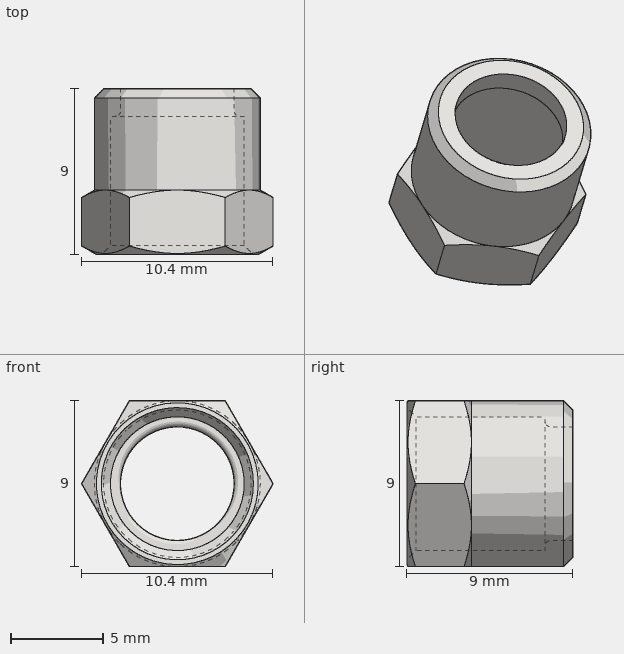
import cadquery as cq
import math

across_corners = 10.39
across_flats = across_corners * math.cos(math.radians(30))
total_length = 9.0
hex_length = 3.5
body_radius = across_flats / 2
body_chamfer = 0.5

hex_chamfer_angle = 30.0
hex_face_radius = 4.38

bore_radius = 3.63
bore_depth = 7.5
mouth_chamfer = 0.5
exit_radius = 3.08
exit_rounding = 0.31

front_y = -total_length / 2
back_y = total_length / 2
hex_back_y = front_y + hex_length


def revolve_about_y(outline):
    """Revolve a closed outline of (radius, y) around the Y axis."""
    return outline.close().revolve(360, (0, 0, 0), (0, 1, 0))


def make_hexagon():
    """Hexagonal prism with both ends cut back by cones at the corners."""
    prism = (
        cq.Workplane("XZ", origin=(0, hex_back_y, 0))
        .polygon(6, across_corners)
        .extrude(hex_length)
    )
    corner_radius = across_corners / 2
    slope = math.tan(math.radians(hex_chamfer_angle))
    front_drop = (corner_radius - hex_face_radius) * slope
    back_drop = (corner_radius - body_radius) * slope
    envelope = revolve_about_y(
        cq.Workplane("XY").polyline([
            (0, front_y),
            (hex_face_radius, front_y),
            (corner_radius, front_y + front_drop),
            (corner_radius, hex_back_y - back_drop),
            (body_radius, hex_back_y),
            (0, hex_back_y),
        ])
    )
    return prism.intersect(envelope)


def make_body():
    """Round shank behind the hexagon, chamfered at its free end."""
    return (
        cq.Workplane("XZ", origin=(0, back_y, 0))
        .circle(body_radius)
        .extrude(total_length - hex_length)
        .faces(">Y")
        .chamfer(body_chamfer)
    )


def make_bore():
    """Chamfered main bore, flat shoulder and rounded exit hole, as one solid."""
    shoulder_y = front_y + bore_depth
    arc_offset = exit_rounding * (1 - math.sqrt(0.5))
    return revolve_about_y(
        cq.Workplane("XY")
        .moveTo(0, front_y)
        .lineTo(bore_radius + mouth_chamfer, front_y)
        .lineTo(bore_radius, front_y + mouth_chamfer)
        .lineTo(bore_radius, shoulder_y)
        .lineTo(exit_radius + exit_rounding, shoulder_y)
        .threePointArc(
            (exit_radius + arc_offset, shoulder_y + arc_offset),
            (exit_radius, shoulder_y + exit_rounding),
        )
        .lineTo(exit_radius, back_y)
        .lineTo(0, back_y)
    )


result = make_hexagon().union(make_body()).cut(make_bore())